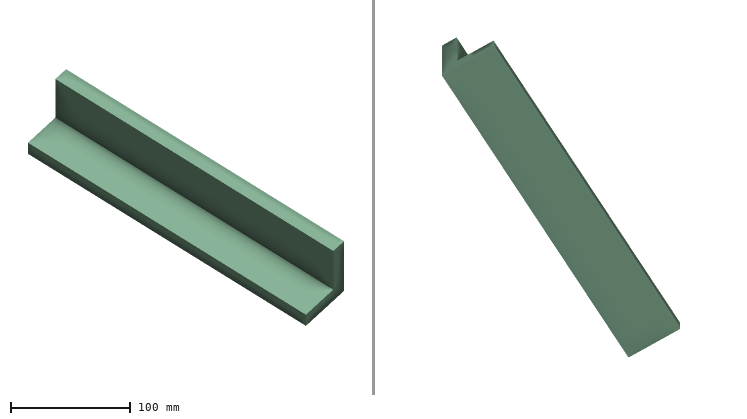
import cadquery as cq

length = 300.0
depth = 50.0
height = 63.0
thickness = 14.0

front = -depth / 2
back = depth / 2
section = [
    (front, 0),
    (back, 0),
    (back, height),
    (back - thickness, height),
    (back - thickness, thickness),
    (front, thickness),
]

result = cq.Workplane("YZ").polyline(section).close().extrude(length / 2, both=True)